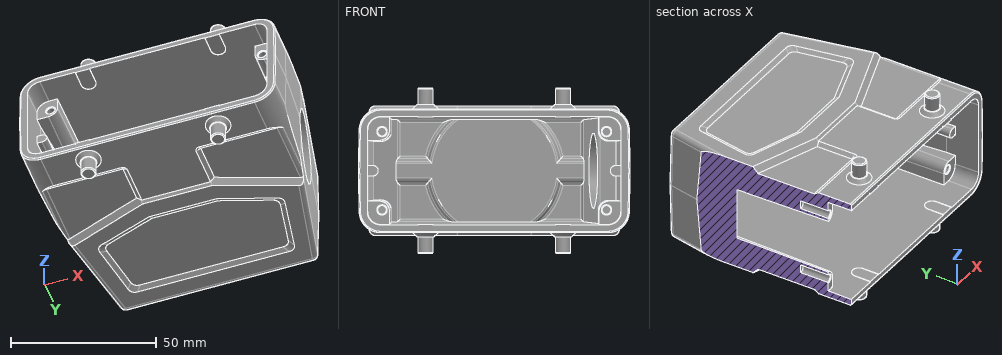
import cadquery as cq
import math


length = 76.0
half_width = 46.75
half_height = 22.3
collar_half_height = 21.3
collar_radius = 7.5
collar_straight = 10.9
bend_y = 32.0
bend_half_width = 45.0
back_half_width = 35.9
draft = 1.0
edge_radius = 1.9
rim_chamfer = 0.5
overlap = 4.7

step_y = 30.7
step_half_width = 12.6
step_outer_y = 41.5
step_outer_half_width = 43.0
step_angle = 42.0
slab_root = 0.5

panel_floor = 20.2
panel_front_y = 15.1
panel_inner_x = 14.2
panel_angle = 56.0
panel_edge_radius = 2.8

label_depth = 1.0
label_back = (29.9, 68.1)
label_side = (34.2, 44.3)
label_front = (12.3, 36.9)
label_slope_run = 1.9
label_radius = 5.6

pin_x = 23.7
pin_y = 6.3
pin_radius = 2.6
pin_tip_z = 28.5
pin_tip_chamfer = 0.4
pin_flare_radius = 4.4
pin_flare_top_radius = 2.9
pin_flare_height = 1.5
pad_height = 0.2

mouth_half_width = 43.7
mouth_half_height = 18.6
mouth_radius = 4.5
cavity_draft = 0.85
cavity_bend_half_width = 41.6
cavity_floor_half_width = 33.1
cavity_floor_y = 72.9
floor_rise = 3.3
floor_disc_radius = 22.1
floor_bar_half_height = 3.0
floor_rise_angle = 25.0
floor_rise_round = 0.75
floor_fillet = 0.9

boss_face_y = 9.35
boss_inner_x = 36.1
boss_inner_z = 10.5
boss_radius = 3.3
screw_x = 38.6
screw_z = 13.5
screw_radius = 1.5
screw_depth = 11.2
screw_chamfer = 0.3
screw_chamfer_angle = 45.0
rib_x = 41.7
rib_radius = 1.8

entry_y = 43.0
entry_radius = 12.9
ledge_y = 29.0
ledge_x = 35.7
thick_wall_back_x = 30.6
ledge_radius = 0.75


def both_faces(solid):
    """Add the mirror image about the parting plane."""
    return solid.union(solid.mirror("XY"))


def symmetric_outline(right_points):
    """Mirror the right half of a plan outline and close it."""
    left_points = [(-x, y) for x, y in reversed(right_points)]
    return right_points + left_points


def plan(right_points, z):
    return cq.Workplane("XY").workplane(offset=z).polyline(symmetric_outline(right_points)).close()


def depth_plane(y):
    """Sketch plane at depth y whose extrusions run towards +Y; sketch x is -X."""
    return cq.Workplane(cq.Plane(origin=(0, y, 0), xDir=(-1, 0, 0), normal=(0, 1, 0)))


def make_block():
    front_slope = (half_width - bend_half_width) / (bend_y - collar_straight)
    front_half_width = half_width + front_slope * (collar_straight + overlap)
    outline = [
        (front_half_width, -overlap),
        (bend_half_width, bend_y),
        (back_half_width, length),
    ]
    upper = plan(outline, 0).extrude(half_height, taper=draft)
    back_corners = upper.edges("not #Z").edges(">Y")
    upper = back_corners.fillet(edge_radius)
    upper = upper.faces(">Z").edges("not <Y").fillet(edge_radius)
    return both_faces(upper)


def make_panels():
    span_x = half_width + overlap - panel_inner_x
    span_y = step_outer_y + overlap - panel_front_y
    centre = (panel_inner_x + span_x / 2, panel_front_y + span_y / 2)
    panels = (
        cq.Workplane("XY").workplane(offset=panel_floor)
        .pushPoints([centre, (-centre[0], centre[1])])
        .rect(span_x, span_y)
        .extrude(overlap, taper=-panel_angle)
    )
    return both_faces(panels)


def make_collar():
    top_half_width = half_width - collar_half_height * math.tan(math.radians(draft))
    section = [
        (half_width, 0),
        (top_half_width, collar_half_height),
        (-top_half_width, collar_half_height),
        (-half_width, 0),
        (-top_half_width, -collar_half_height),
        (top_half_width, -collar_half_height),
    ]
    collar = depth_plane(0).polyline(section).close().extrude(length + overlap)
    collar = collar.edges("|Y").edges(">Z or <Z").fillet(collar_radius)
    return collar.faces("<Y").edges().chamfer(rim_chamfer)


def make_paneled_collar():
    paneled = make_collar().cut(make_panels())
    for x in (-half_width, half_width):
        for z in (-panel_floor, panel_floor):
            outer_edge = cq.selectors.NearestToPointSelector((x, step_y, z))
            paneled = paneled.edges("|Y").edges(outer_edge).fillet(panel_edge_radius)
    return paneled


def make_raised_slab():
    """Slab above the panel floor whose sloping front wall is the step."""
    slab_base = panel_floor - slab_root
    height = half_height - slab_base
    run = height * math.tan(math.radians(step_angle))
    slope = (step_outer_y - step_y) / (step_outer_half_width - step_half_width)
    far_x = half_width + 2 * overlap
    far_y = step_outer_y + slope * (far_x - step_outer_half_width)
    outline = [
        (step_half_width, step_y),
        (far_x, far_y),
        (far_x, length + 2 * overlap),
    ]
    base = plan(outline, slab_base).offset2D(run, "intersection")
    return both_faces(base.extrude(height, taper=step_angle))


def make_label_recess():
    slope = math.degrees(math.atan(label_slope_run / label_depth))
    recess = (
        plan([label_front, label_side, label_back], half_height)
        .extrude(-label_depth, taper=slope)
    )
    recess = recess.edges("not #Z").edges("not <Y").fillet(label_radius)
    return both_faces(recess)


def make_pins():
    flare = pin_flare_radius - pin_flare_top_radius
    spots = [(-pin_x, pin_y), (pin_x, pin_y)]
    root_z = (mouth_half_height + collar_half_height) / 2
    pins = (
        cq.Workplane("XY").workplane(offset=root_z).pushPoints(spots)
        .circle(pin_radius).extrude(pin_tip_z - root_z)
        .faces(">Z").edges().chamfer(pin_tip_chamfer)
    )
    flares = (
        cq.Workplane("XY").workplane(offset=collar_half_height).pushPoints(spots)
        .circle(pin_flare_radius)
        .extrude(pin_flare_height, taper=math.degrees(math.atan(flare / pin_flare_height)))
    )
    return both_faces(pins.union(flares))


def make_pads():
    """Low U-shaped pads under the pins, running to the mouth."""
    pad_z = mouth_half_height - pad_height
    thickness = 2 * pad_height
    pads = cq.Workplane("XY")
    for x in (-pin_x, pin_x):
        round_end = cq.Workplane("XY", origin=(x, pin_y, pad_z)).circle(pin_radius).extrude(thickness)
        strip = cq.Workplane("XY").box(2 * pin_radius, pin_y, thickness, centered=(True, False, False))
        pads = pads.add(round_end.union(strip.translate((x, 0, pad_z))))
    return both_faces(pads.combine())


def make_cavity_space():
    outline = [
        (mouth_half_width + overlap, -overlap),
        (mouth_half_width, collar_straight),
        (cavity_bend_half_width, bend_y),
        (cavity_floor_half_width, cavity_floor_y),
    ]
    space = plan(outline, -half_height).extrude(2 * half_height)
    mouth = (
        depth_plane(0)
        .sketch().rect(2 * mouth_half_width, 2 * mouth_half_height)
        .vertices().fillet(mouth_radius).finalize()
        .extrude(length, taper=cavity_draft)
    )
    return space.intersect(mouth)


def make_floor_rise():
    """Disc with a cross bar standing on the back wall."""
    run = floor_rise * math.tan(math.radians(floor_rise_angle))
    plane = depth_plane(cavity_floor_y)
    disc = plane.circle(floor_disc_radius + run).extrude(-floor_rise, taper=floor_rise_angle)
    bar = (
        plane.rect(2 * half_width, 2 * (floor_bar_half_height + run))
        .extrude(-floor_rise, taper=floor_rise_angle)
    )
    return disc.union(bar).faces("<Y").edges().fillet(floor_rise_round)


def make_bosses():
    size_x = half_width - boss_inner_x
    size_z = half_height - boss_inner_z
    boss = (
        depth_plane(boss_face_y).center(-boss_inner_x, boss_inner_z)
        .moveTo(0, size_z)
        .lineTo(0, boss_radius)
        .radiusArc((-boss_radius, 0), boss_radius)
        .lineTo(-size_x, 0)
        .lineTo(-size_x, size_z)
        .close()
        .extrude(cavity_floor_y - boss_face_y, taper=-cavity_draft)
    )
    screw_axis = depth_plane(boss_face_y).center(-screw_x, screw_z)
    hole = screw_axis.circle(screw_radius).extrude(screw_depth)
    rim = screw_axis.circle(screw_radius + screw_chamfer)
    countersink = rim.extrude(screw_chamfer, taper=screw_chamfer_angle)
    boss = boss.cut(hole).cut(countersink)
    right = both_faces(boss)
    return right.union(right.mirror("YZ"))


def make_ribs():
    rib_length = cavity_floor_y - boss_face_y
    web_width = half_width - rib_x
    web_x = rib_x + web_width / 2
    face = depth_plane(boss_face_y)
    rounds = face.pushPoints([(-rib_x, 0), (rib_x, 0)]).circle(rib_radius).extrude(rib_length)
    webs = face.pushPoints([(-web_x, 0), (web_x, 0)]).rect(web_width, 2 * rib_radius).extrude(rib_length)
    return rounds.union(webs)


def make_thick_wall():
    outline = [
        (ledge_x, ledge_y),
        (half_width, ledge_y),
        (half_width, cavity_floor_y),
        (thick_wall_back_x, cavity_floor_y),
    ]
    wall = (
        cq.Workplane("XY").workplane(offset=-half_height)
        .polyline(outline).close().extrude(2 * half_height)
    )
    ledge_edge = cq.selectors.NearestToPointSelector((ledge_x, ledge_y, 0))
    return wall.edges("|Z").edges(ledge_edge).fillet(ledge_radius)


def make_cable_entry():
    return cq.Workplane("YZ").center(entry_y, 0).circle(entry_radius).extrude(half_width + overlap)


collar = make_paneled_collar()
shell = make_block().intersect(collar.union(make_raised_slab()))
shell = shell.cut(make_label_recess())

cavity = make_cavity_space().cut(make_floor_rise()).cut(make_thick_wall())
cavity = cavity.faces(">Y").edges().fillet(floor_fillet)
for filling in (make_bosses(), make_ribs(), make_pads()):
    cavity = cavity.cut(filling)

result = shell.cut(cavity).union(make_pins()).cut(make_cable_entry())